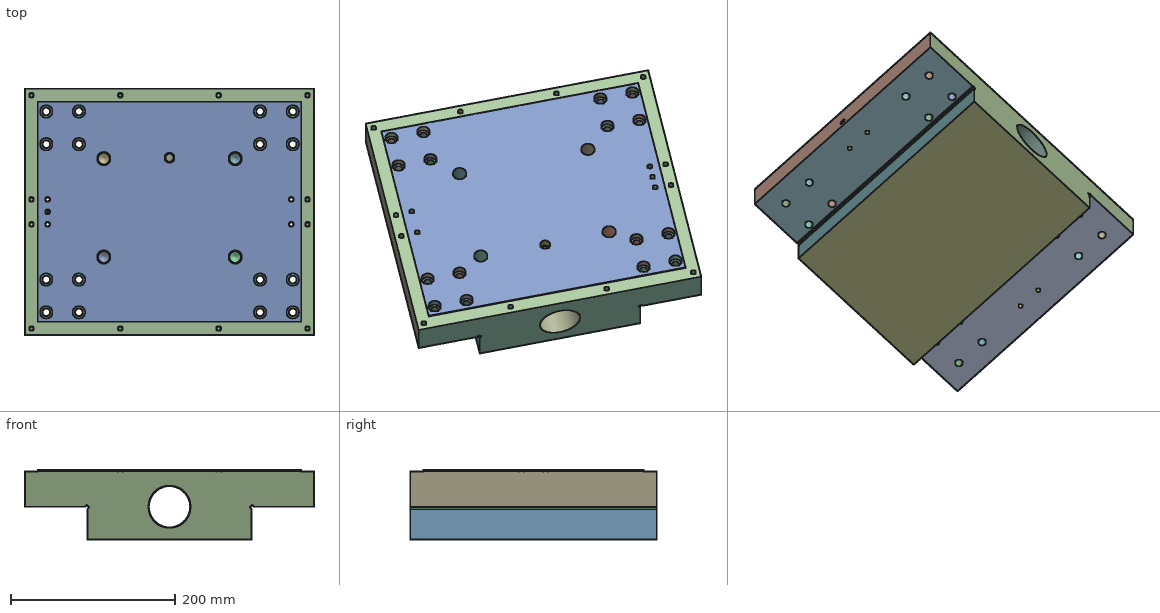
import cadquery as cq
import math

LENGTH = 352.0
WIDTH = 300.0
HEIGHT = 85.0

PAD_LENGTH = 320.0
PAD_WIDTH = 268.0
PAD_HEIGHT = 1.8
BLOCK_LENGTH = 200.0
WING_BOTTOM = 40.0
WING_TOP = HEIGHT - PAD_HEIGHT

RELIEF_WIDTH = 4.0
RELIEF_DEPTH = 1.0

BORE_DIAMETER = 50.0
BORE_SEAT_DIAMETER = 51.5
BORE_SEAT_DEPTH = 70.5

BOLT_PITCH = 39.8
BOLT_OUTER_X = 150.0
BOLT_OUTER_Y = 122.0
BOLT_DIAMETER = 9.0
COUNTERBORE_DIAMETER = 15.0
COUNTERBORE_DEPTH = 9.0

DRILL_TIP_ANGLE = 118.0
CORE_EXTRA_DEPTH = 3.5
LIFT_DIAMETER = 16.2
LIFT_CORE_DIAMETER = 14.0
LIFT_THREAD_DEPTH = 30.0
LIFT_SPAN_X = 159.8
LIFT_SPAN_Y = 119.7
LIFT_CENTRE_Y = 5.0

BORE_ACCESS_DIAMETER = 12.0
BORE_ACCESS_CORE_DIAMETER = 10.0
BORE_ACCESS_THREAD_DEPTH = 12.0
BORE_ACCESS_Y = 66.0

SMALL_DIAMETER = 6.0
SMALL_CORE_DIAMETER = 5.0
SMALL_THREAD_DEPTH = 12.0
RIM_HOLE_INSET = 8.0
RIM_MIDDLE_X = 60.0
SIDE_PAIR_Y = 15.0
PAD_HOLE_X = 148.2

OIL_DIAMETER = 7.0
OIL_CORE_DIAMETER = 5.5
OIL_LEVEL = 52.0


def tapped_drill(diameter, core_diameter, thread_depth):
    """Tool pointing down from the origin: thread, narrower core, then a drill cone."""
    radius = diameter / 2
    core_radius = core_diameter / 2
    core_depth = thread_depth + CORE_EXTRA_DEPTH
    tip = core_radius / math.tan(math.radians(DRILL_TIP_ANGLE / 2))
    profile = cq.Workplane("XZ").polyline([
        (0, 0),
        (radius, 0),
        (radius, -thread_depth),
        (core_radius, -thread_depth),
        (core_radius, -core_depth),
        (0, -core_depth - tip),
    ])
    return profile.close().revolve(360, (0, 0, 0), (0, 1, 0))


def drill_tapped(body, points, top, tool):
    """Drill blind tapped holes downward from the given level."""
    for x, y in points:
        body = body.cut(tool.translate((x, y, top)))
    return body


def drill_straight(body, points, diameter, bottom=0.0):
    """Drill flat-bottomed holes from the top face down to the given level."""
    tools = cq.Workplane("XY").workplane(offset=bottom).pushPoints(points)
    return body.cut(tools.circle(diameter / 2).extrude(HEIGHT - bottom))


def mirrored(x, y):
    """The four points mirrored about both centre planes."""
    return [(sx * x, sy * y) for sx in (-1, 1) for sy in (-1, 1)]


def make_body():
    block = cq.Workplane("XY").box(BLOCK_LENGTH, WIDTH, WING_TOP, centered=(True, True, False))
    wings = cq.Workplane("XY").workplane(offset=WING_BOTTOM).rect(LENGTH, WIDTH)
    pad = cq.Workplane("XY").workplane(offset=WING_TOP).rect(PAD_LENGTH, PAD_WIDTH)
    return block.union(wings.extrude(WING_TOP - WING_BOTTOM)).union(pad.extrude(PAD_HEIGHT))


def cut_reliefs(body):
    groove = cq.Workplane("XY").box(RELIEF_WIDTH, WIDTH, RELIEF_WIDTH)
    groove = groove.translate((0, 0, RELIEF_DEPTH - RELIEF_WIDTH / 2))
    for side in (-1, 1):
        tilted = groove.rotate((0, 0, 0), (0, 1, 0), -side * 45)
        body = body.cut(tilted.translate((side * BLOCK_LENGTH / 2, 0, WING_BOTTOM)))
    return body


def cut_bore(body):
    front = cq.Workplane("XZ", origin=(0, -WIDTH / 2, WING_BOTTOM))
    body = body.cut(front.circle(BORE_DIAMETER / 2).extrude(-WIDTH))
    return body.cut(front.circle(BORE_SEAT_DIAMETER / 2).extrude(-BORE_SEAT_DEPTH))


def cut_bolt_holes(body):
    points = []
    for x in (BOLT_OUTER_X, BOLT_OUTER_X - BOLT_PITCH):
        for y in (BOLT_OUTER_Y, BOLT_OUTER_Y - BOLT_PITCH):
            points += mirrored(x, y)
    body = drill_straight(body, points, BOLT_DIAMETER)
    return drill_straight(body, points, COUNTERBORE_DIAMETER, HEIGHT - COUNTERBORE_DEPTH)


def cut_lift_holes(body):
    points = [(x, y + LIFT_CENTRE_Y) for x, y in mirrored(LIFT_SPAN_X / 2, LIFT_SPAN_Y / 2)]
    tool = tapped_drill(LIFT_DIAMETER, LIFT_CORE_DIAMETER, LIFT_THREAD_DEPTH)
    return drill_tapped(body, points, HEIGHT, tool)


def cut_bore_access(body):
    point = [(0, BORE_ACCESS_Y)]
    body = drill_straight(body, point, BORE_ACCESS_CORE_DIAMETER, WING_BOTTOM)
    return drill_straight(body, point, BORE_ACCESS_DIAMETER, HEIGHT - BORE_ACCESS_THREAD_DEPTH)


def cut_rim_holes(body):
    rim_x = LENGTH / 2 - RIM_HOLE_INSET
    rim_y = WIDTH / 2 - RIM_HOLE_INSET
    points = mirrored(rim_x, rim_y) + mirrored(RIM_MIDDLE_X, rim_y) + mirrored(rim_x, SIDE_PAIR_Y)
    tool = tapped_drill(SMALL_DIAMETER, SMALL_CORE_DIAMETER, SMALL_THREAD_DEPTH)
    return drill_tapped(body, points, WING_TOP, tool)


def cut_pad_holes(body):
    points = mirrored(PAD_HOLE_X, SIDE_PAIR_Y)
    body = drill_straight(body, points, SMALL_CORE_DIAMETER)
    return drill_straight(body, points, SMALL_DIAMETER, HEIGHT - SMALL_THREAD_DEPTH)


def cut_oil_passage(body):
    outlet = [(-PAD_HOLE_X, 0)]
    body = drill_straight(body, outlet, SMALL_CORE_DIAMETER, OIL_LEVEL)
    body = drill_straight(body, outlet, SMALL_DIAMETER, HEIGHT - SMALL_THREAD_DEPTH)
    thread_depth = LENGTH / 2 - PAD_HOLE_X
    inlet = tapped_drill(OIL_DIAMETER, OIL_CORE_DIAMETER, thread_depth)
    inlet = inlet.rotate((0, 0, 0), (0, 1, 0), -90)
    return body.cut(inlet.translate((-LENGTH / 2, 0, OIL_LEVEL)))


result = make_body()
result = cut_reliefs(result)
result = cut_bore(result)
result = cut_bolt_holes(result)
result = cut_lift_holes(result)
result = cut_bore_access(result)
result = cut_rim_holes(result)
result = cut_pad_holes(result)
result = cut_oil_passage(result)